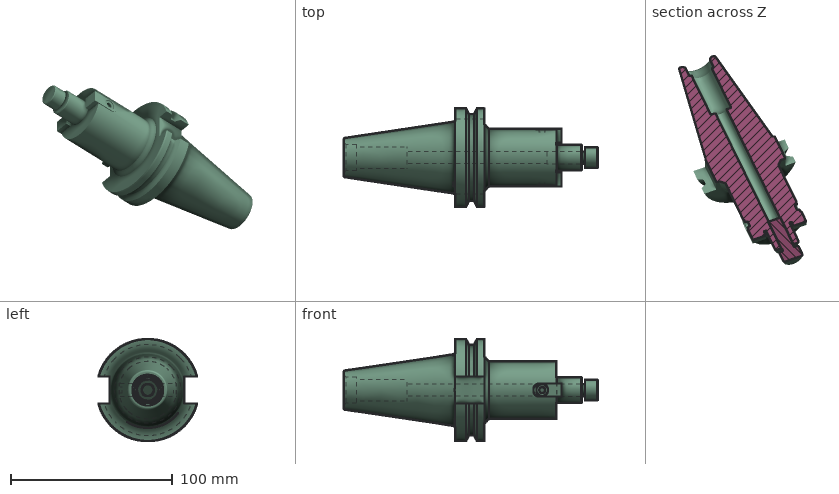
import cadquery as cq
import math

NOSE_DIAMETER = 24.2
TAPER_END_DIAMETER = 44.5
TAPER_END_X = 67.7
NOSE_ROUND = 1.3

FLANGE_DIAMETER = 63.3
FLANGE_START_X = 69.0
FLANGE_END_X = 87.0
FLANGE_RIM_WIDTH = 1.0
FLANGE_RIM_DROP = 0.2
GROOVE_CENTER_X = 79.0
GROOVE_FLOOR_DIAMETER = 56.4
GROOVE_FLOOR_WIDTH = 3.3
GROOVE_WALL_ANGLE = 28

NOTCH_WIDTH = 16.5
FRONT_NOTCH_FLOOR = 22.6
REAR_NOTCH_FLOOR = 23.7

BODY_DIAMETER = 35.7
BODY_END_X = 131.5
COLLAR_LENGTH = 2.7
RELIEF_DIAMETER = 15.7
RELIEF_WIDTH = 0.5
SPIGOT_DIAMETER = 16.0
SPIGOT_END_X = 147.2
SPIGOT_CHAMFER = 0.5

BORE_MOUTH_DIAMETER = 19.0
BORE_MOUTH_ANGLE = 45
BORE_DIAMETER = 16.2
BORE_DEPTH = 7.9
THREAD_DIAMETER = 13.4
THREAD_END_X = 39.3
COOLANT_DIAMETER = 7.2

KEY_WIDTH = 8.2
KEY_START_X = 117.2
KEY_END_X = 134.8
KEY_INNER_Y = 9.1
KEY_OUTER_Y = 17.9
SCREW_X = 122.7
SCREW_HEAD_DIAMETER = 7.2
SCREW_HEAD_RECESS = 0.5
SCREW_SOCKET_DIAMETER = 3.6
SCREW_SOCKET_DEPTH = 1.5

BOLT_END_X = 157.1
BOLT_HEAD_DIAMETER = 13.0
BOLT_HEAD_LENGTH = 8.0
BOLT_HEAD_CHAMFER = 0.5
BOLT_SHANK_DIAMETER = 7.7
BOLT_START_X = 125.7


def revolve_about_x(profile):
    """Turn a profile of (x, radius) around the X axis."""
    return profile.close().revolve(360, (0, 0, 0), (1, 0, 0))


def cylinder_along_x(diameter, start_x, end_x):
    plane = cq.Workplane("YZ", origin=(start_x, 0, 0))
    return plane.circle(diameter / 2).extrude(end_x - start_x)


def taper_shank():
    taper_end_radius = TAPER_END_DIAMETER / 2
    small_radius = NOSE_DIAMETER / 2
    root_round = FLANGE_START_X - TAPER_END_X
    root_inset = root_round * math.sqrt(0.5)
    root_middle = (TAPER_END_X + root_inset, taper_end_radius + root_round - root_inset)
    shank = revolve_about_x(
        cq.Workplane("XY")
        .lineTo(0, small_radius)
        .lineTo(TAPER_END_X, taper_end_radius)
        .threePointArc(root_middle, (FLANGE_START_X, taper_end_radius + root_round))
        .lineTo(FLANGE_START_X, 0)
    )
    return shank.faces("<X").edges().fillet(NOSE_ROUND)


def flange():
    radius = FLANGE_DIAMETER / 2
    floor_radius = GROOVE_FLOOR_DIAMETER / 2
    half_floor = GROOVE_FLOOR_WIDTH / 2
    half_mouth = half_floor + (radius - floor_radius) * math.tan(math.radians(GROOVE_WALL_ANGLE))
    return revolve_about_x(
        cq.Workplane("XY")
        .moveTo(FLANGE_START_X, 0)
        .lineTo(FLANGE_START_X, radius)
        .lineTo(GROOVE_CENTER_X - half_mouth, radius)
        .lineTo(GROOVE_CENTER_X - half_floor, floor_radius)
        .lineTo(GROOVE_CENTER_X + half_floor, floor_radius)
        .lineTo(GROOVE_CENTER_X + half_mouth, radius)
        .lineTo(FLANGE_END_X - FLANGE_RIM_WIDTH, radius)
        .lineTo(FLANGE_END_X, radius - FLANGE_RIM_DROP)
        .lineTo(FLANGE_END_X, 0)
    )


def drive_notch(floor_y, side):
    """Box that cuts the flange from floor_y outward; side is -1 for -Y and 1 for +Y."""
    length = FLANGE_END_X - TAPER_END_X
    depth = FLANGE_DIAMETER / 2
    center = ((TAPER_END_X + FLANGE_END_X) / 2, side * (floor_y + depth / 2), 0)
    return cq.Workplane("XY").box(length, depth, NOTCH_WIDTH).translate(center)


def cutter_seat():
    body_radius = BODY_DIAMETER / 2
    relief_end_x = BODY_END_X + RELIEF_WIDTH
    spigot_radius = SPIGOT_DIAMETER / 2
    return revolve_about_x(
        cq.Workplane("XY")
        .moveTo(FLANGE_END_X, 0)
        .lineTo(FLANGE_END_X, body_radius + COLLAR_LENGTH)
        .lineTo(FLANGE_END_X + COLLAR_LENGTH, body_radius)
        .lineTo(BODY_END_X, body_radius)
        .lineTo(BODY_END_X, RELIEF_DIAMETER / 2)
        .lineTo(relief_end_x, RELIEF_DIAMETER / 2)
        .lineTo(relief_end_x, spigot_radius)
        .lineTo(SPIGOT_END_X - SPIGOT_CHAMFER, spigot_radius)
        .lineTo(SPIGOT_END_X, spigot_radius - SPIGOT_CHAMFER)
        .lineTo(SPIGOT_END_X, 0)
    )


def drawbar_bore():
    mouth_radius = BORE_MOUTH_DIAMETER / 2
    bore_radius = BORE_DIAMETER / 2
    mouth_depth = (mouth_radius - bore_radius) / math.tan(math.radians(BORE_MOUTH_ANGLE))
    return revolve_about_x(
        cq.Workplane("XY")
        .lineTo(0, mouth_radius)
        .lineTo(mouth_depth, bore_radius)
        .lineTo(BORE_DEPTH, bore_radius)
        .lineTo(BORE_DEPTH, THREAD_DIAMETER / 2)
        .lineTo(THREAD_END_X, THREAD_DIAMETER / 2)
        .lineTo(THREAD_END_X, COOLANT_DIAMETER / 2)
        .lineTo(BOLT_START_X, COOLANT_DIAMETER / 2)
        .lineTo(BOLT_START_X, 0)
    )


def drive_key():
    """Key on the -Y side: rounded at the end toward the flange."""
    round_x = KEY_START_X + KEY_WIDTH / 2
    inner_face = cq.Workplane("XZ", origin=(0, -KEY_INNER_Y, 0))
    return (
        inner_face.moveTo(KEY_END_X, -KEY_WIDTH / 2)
        .lineTo(KEY_END_X, KEY_WIDTH / 2)
        .lineTo(round_x, KEY_WIDTH / 2)
        .threePointArc((KEY_START_X, 0), (round_x, -KEY_WIDTH / 2))
        .close()
        .extrude(KEY_OUTER_Y - KEY_INNER_Y)
    )


def screw_recess():
    """Cut for the recessed screw head and its socket on the -Y side."""
    outer_face = cq.Workplane("XZ", origin=(SCREW_X, -KEY_OUTER_Y, 0))
    recess = outer_face.circle(SCREW_HEAD_DIAMETER / 2).extrude(-SCREW_HEAD_RECESS)
    socket_depth = SCREW_HEAD_RECESS + SCREW_SOCKET_DEPTH
    return recess.union(outer_face.circle(SCREW_SOCKET_DIAMETER / 2).extrude(-socket_depth))


def clamping_bolt():
    head_start_x = BOLT_END_X - BOLT_HEAD_LENGTH
    head = cylinder_along_x(BOLT_HEAD_DIAMETER, head_start_x, BOLT_END_X)
    head = head.faces(">X").edges().chamfer(BOLT_HEAD_CHAMFER)
    return head.union(cylinder_along_x(BOLT_SHANK_DIAMETER, BOLT_START_X, head_start_x))


def tool_holder():
    holder = taper_shank().union(flange()).union(cutter_seat())
    holder = holder.cut(drive_notch(FRONT_NOTCH_FLOOR, -1)).cut(drive_notch(REAR_NOTCH_FLOOR, 1))
    for angle in (0, 180):
        holder = holder.union(drive_key().rotate((0, 0, 0), (1, 0, 0), angle))
        holder = holder.cut(screw_recess().rotate((0, 0, 0), (1, 0, 0), angle))
    bolt_hole = cylinder_along_x(BOLT_SHANK_DIAMETER, BOLT_START_X, SPIGOT_END_X)
    return holder.cut(drawbar_bore()).cut(bolt_hole)


holder = tool_holder()
bolt = clamping_bolt()

result = cq.Compound.makeCompound([holder.val(), bolt.val()])